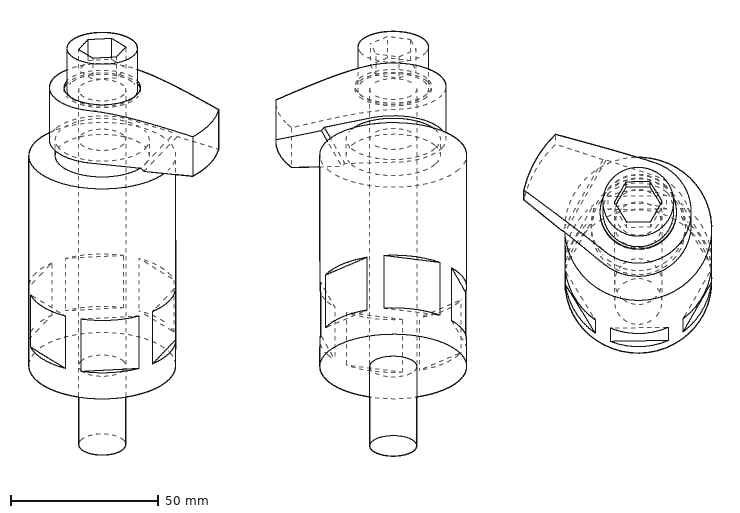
import cadquery as cq
import math

total_height = 151.0
shank_projection = 30.0
barrel_height = 80.0
neck_height = 6.0
arm_height = 20.0
barrel_top = shank_projection + barrel_height
neck_top = barrel_top + neck_height
arm_top = neck_top + arm_height

barrel_radius = 50.0 / 2
neck_radius = 32.0 / 2
flat_count = 6
flat_distance = 23.0
flat_height = 20.0
base_rim_height = 10.0
flat_bottom = shank_projection + base_rim_height

hub_radius = 36.0 / 2
arm_reach = 39.94
tip_width = 22.2
top_slope = 15.0
pad_start = 20.5
pad_drop = 1.0
head_recess_radius = 26.0 / 2
head_recess_depth = 1.0

shank_radius = 16.0 / 2
head_radius = 24.0 / 2
head_bottom = arm_top - head_recess_depth
socket_sides = 6
socket_flats = 14.0
socket_depth = 8.0


def cylinder(radius, bottom, top):
    """Upright cylinder on the Z axis between two levels."""
    return cq.Workplane("XY").workplane(offset=bottom).circle(radius).extrude(top - bottom)


def wrench_flat_cutter(angle):
    """Block that removes the barrel wall outside one wrench flat."""
    block = cq.Workplane("XY").box(
        barrel_radius, 2 * barrel_radius, flat_height, centered=(False, True, False)
    )
    return block.translate((flat_distance, 0, flat_bottom)).rotate((0, 0, 0), (0, 0, 1), angle)


def make_housing():
    """Barrel with a neck, a ring of wrench flats and a bore for the shank."""
    housing = cylinder(barrel_radius, shank_projection, barrel_top)
    for i in range(flat_count):
        housing = housing.cut(wrench_flat_cutter(i * 360 / flat_count))
    housing = housing.union(cylinder(neck_radius, barrel_top, neck_top))
    return housing.cut(cylinder(shank_radius, shank_projection, neck_top))


def arm_plan():
    """Plan outline, with sides tangent to the hub and a tip arc centred on the axis."""
    tip_y = tip_width / 2
    tip_x = math.sqrt(arm_reach**2 - tip_y**2)
    tangent_angle = math.atan2(tip_y, tip_x) + math.acos(hub_radius / arm_reach)
    tangent_x = hub_radius * math.cos(tangent_angle)
    tangent_y = hub_radius * math.sin(tangent_angle)
    return (
        cq.Workplane("XY")
        .workplane(offset=neck_top - pad_drop)
        .moveTo(tangent_x, -tangent_y)
        .lineTo(tip_x, -tip_y)
        .threePointArc((arm_reach, 0), (tip_x, tip_y))
        .lineTo(tangent_x, tangent_y)
        .threePointArc((-hub_radius, 0), (tangent_x, -tangent_y))
        .close()
    )


def arm_underside_cutter():
    """Space under the arm, ending in a 45 degree step at the clamping pad."""
    pad_bottom = neck_top - pad_drop
    return (
        cq.Workplane("XZ")
        .moveTo(-arm_reach, pad_bottom)
        .lineTo(pad_start + pad_drop, pad_bottom)
        .lineTo(pad_start, neck_top)
        .lineTo(-arm_reach, neck_top)
        .close()
        .extrude(arm_reach, both=True)
    )


def arm_top_cutter():
    """Ring above the cone that falls away from the hub toward the tip."""
    outer_radius = arm_reach + hub_radius
    drop = (outer_radius - hub_radius) * math.tan(math.radians(top_slope))
    return (
        cq.Workplane("XZ")
        .moveTo(hub_radius, arm_top)
        .lineTo(outer_radius, arm_top)
        .lineTo(outer_radius, arm_top - drop)
        .close()
        .revolve(360, (0, 0, 0), (0, 1, 0))
    )


def make_clamp_arm():
    """Hub and tapered arm, bored for the shank and recessed for the screw head."""
    arm = arm_plan().extrude(arm_height + pad_drop)
    arm = arm.cut(arm_underside_cutter()).cut(arm_top_cutter())
    arm = arm.cut(cylinder(shank_radius, neck_top, arm_top))
    return arm.cut(cylinder(head_recess_radius, head_bottom, arm_top))


def make_screw():
    """Full-length shank under a cylindrical head with a hexagon socket."""
    screw = cylinder(shank_radius, 0, head_bottom)
    screw = screw.union(cylinder(head_radius, head_bottom, total_height))
    socket = (
        cq.Workplane("XY")
        .workplane(offset=total_height - socket_depth)
        .polygon(socket_sides, socket_flats, circumscribed=True)
        .extrude(socket_depth)
    )
    return screw.cut(socket)


housing = make_housing()
clamp_arm = make_clamp_arm()
screw = make_screw()

result = cq.Compound.makeCompound([housing.val(), clamp_arm.val(), screw.val()])